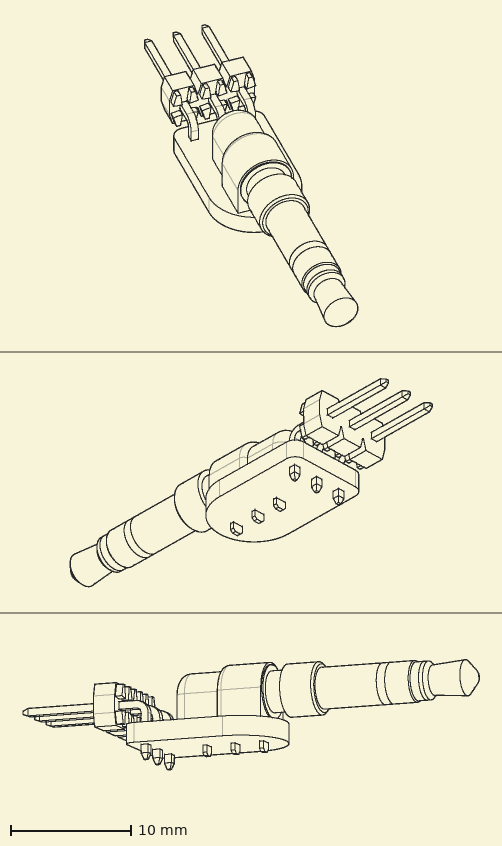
import cadquery as cq

pitch = 2.55
row = (-1, 0, 1)
header_mid_y = 0.05

board_start = 9.52
board_width = 8.0
board_thickness = 1.67
board_corner = 1.0
board_round_x = 18.5

pin_side = 0.65
pin_tip_side = 0.28
pin_tip_length = 0.5
pin_z = 1.75
pin_bottom = -2.9
pin_outer_x = 11.3
pin_bend_inner = 0.45
pin_bend_outer = pin_bend_inner + pin_side
pin_drop_x = pin_outer_x - pin_side / 2

header_start = 6.77
header_length = 1.9
header_bottom = -0.05
header_height = 3.63
header_half_height = header_height / 2
header_mid_z = header_bottom + header_half_height
header_flat_half_width = 0.95
groove_floor = 0.06
header_corner_half_width = (pitch - groove_floor) / 2
header_corner_height = 0.75

foot_length = 0.6
foot_outline = [(0.3, 0.5), (0.48, 1.67), (0.85, 1.67), (1.1, 0.65)]

axis_z = 2.5
rear_start = 13.25
rear_radius = 2.0
rear_round = 1.0
front_start = 17.2
front_end = 21.28
front_radius = 2.47
front_round = 0.48

lead_mid_x = 18.0
lead_thickness = 0.35
lead_width = 1.05
lead_bottom = -2.5
lead_chamfer = 0.25

flange_radius = 2.27
flange_end = 21.4
collar_start = 22.87
collar_end = 25.85
collar_radius = 2.25
collar_chamfer = 0.2
barrel_radius = 1.75
barrel_end = 34.35
barrel_chamfer = 0.1
shoulder_radius = barrel_radius - barrel_chamfer
shoulder_end = 35.45
neck_start = 35.83
neck_radius = 1.28
tip_wide_x = 38.77
tip_wide_radius = 1.5
tip_nose_x = 39.57
tip_nose_radius = 0.68
plug_end = 39.85

ring_inner_radius = 1.2
barrel_ring_start = 31.35
barrel_ring_end = 32.1
shoulder_ring_end = 35.1


def make_pin(y):
    """Square pin with tapered ends, bent from the header down through the board."""
    pin = (
        cq.Workplane("YZ", origin=(0, y, pin_z))
        .rect(pin_tip_side, pin_tip_side)
        .workplane(offset=pin_tip_length)
        .rect(pin_side, pin_side)
        .loft(ruled=True)
    )
    half = pin_side / 2
    lower_tip_z = pin_bottom + pin_tip_length
    bend_x = pin_outer_x - pin_bend_outer
    bend_z = pin_z + half - pin_bend_outer
    shank = (
        cq.Workplane("XZ", origin=(0, y + half, 0))
        .moveTo(pin_tip_length, pin_z + half)
        .lineTo(bend_x, pin_z + half)
        .radiusArc((pin_outer_x, bend_z), pin_bend_outer)
        .lineTo(pin_outer_x, lower_tip_z)
        .lineTo(pin_outer_x - pin_side, lower_tip_z)
        .lineTo(pin_outer_x - pin_side, bend_z)
        .radiusArc((bend_x, pin_z - half), -pin_bend_inner)
        .lineTo(pin_tip_length, pin_z - half)
        .close()
        .extrude(pin_side)
    )
    lower_tip = (
        cq.Workplane("XY", origin=(pin_drop_x, y, pin_bottom))
        .rect(pin_tip_side, pin_tip_side)
        .workplane(offset=pin_tip_length)
        .rect(pin_side, pin_side)
        .loft(ruled=True)
    )
    return pin.union(shank).union(lower_tip)


def make_header(pins):
    """Plastic block of three octagons with spacer feet, pierced by the pins."""
    back_x = header_start + header_length
    quarter = [
        (header_corner_half_width, header_corner_height),
        (header_flat_half_width, header_half_height),
    ]
    octagon = (
        quarter
        + [(-y, z) for y, z in reversed(quarter)]
        + [(-y, -z) for y, z in quarter]
        + [(y, -z) for y, z in reversed(quarter)]
    )
    web_width = 2 * pitch
    web_height = 2 * header_corner_height
    header = (
        cq.Workplane("YZ", origin=(header_start, header_mid_y, header_mid_z))
        .rect(web_width, web_height)
        .extrude(header_length)
    )
    for place in row:
        y = header_mid_y + place * pitch
        block = (
            cq.Workplane("YZ", origin=(header_start, y, header_mid_z))
            .polyline(octagon)
            .close()
            .extrude(header_length)
        )
        header = header.union(block)
        for side_y in (-1, 1):
            for side_z in (-1, 1):
                foot = (
                    cq.Workplane("YZ", origin=(back_x, y, header_mid_z))
                    .polyline([(side_y * a, side_z * b) for a, b in foot_outline])
                    .close()
                    .extrude(foot_length)
                )
                header = header.union(foot)
    for pin in pins:
        header = header.cut(pin)
    return header


def make_arch(start, end, radius, edge_round):
    """Housing section on the board with a half-round top and a rounded -X end."""
    return (
        cq.Workplane("YZ", origin=(start, 0, 0))
        .moveTo(-radius, 0)
        .lineTo(-radius, axis_z)
        .threePointArc((0, axis_z + radius), (radius, axis_z))
        .lineTo(radius, 0)
        .close()
        .extrude(end - start)
        .faces("<X")
        .edges("not(<Z)")
        .fillet(edge_round)
    )


def make_plug():
    """Turned plug, from the flange on the housing to the rounded nose."""
    profile = [
        (front_end, 0),
        (front_end, flange_radius),
        (flange_end, flange_radius),
        (flange_end, barrel_radius),
        (collar_start, barrel_radius),
        (collar_start, collar_radius),
        (collar_end - collar_chamfer, collar_radius),
        (collar_end, collar_radius - collar_chamfer),
        (collar_end, barrel_radius),
        (barrel_end - barrel_chamfer, barrel_radius),
        (barrel_end, shoulder_radius),
        (shoulder_end, shoulder_radius),
        (neck_start, neck_radius),
        (tip_wide_x, tip_wide_radius),
    ]
    nose = [(tip_nose_x, tip_nose_radius), (plug_end, 0)]
    return (
        cq.Workplane("XZ", origin=(0, 0, axis_z))
        .polyline(profile)
        .spline(nose, tangents=[(1, -1), (0, -1)], includeCurrent=True)
        .close()
        .revolve(360, (0, 0, 0), (1, 0, 0))
    )


def make_lead(x):
    """Flat blade through the board with its lower corners cut off."""
    return (
        cq.Workplane("XY", origin=(x, 0, lead_bottom))
        .rect(lead_thickness, lead_width)
        .extrude(-lead_bottom)
        .faces("<Z")
        .edges("|X")
        .chamfer(lead_chamfer)
    )


def make_insulator(start, end, outer_radius):
    """Insulating ring around the plug's core."""
    return (
        cq.Workplane("YZ", origin=(start, 0, axis_z))
        .circle(outer_radius)
        .circle(ring_inner_radius)
        .extrude(end - start)
    )


def make_jack(insulators):
    """Housing, leads and plug in one piece, grooved for the insulating rings."""
    jack = make_arch(rear_start, front_end, rear_radius, rear_round)
    jack = jack.union(make_arch(front_start, front_end, front_radius, front_round))
    jack = jack.union(make_plug())
    for place in row:
        jack = jack.union(make_lead(lead_mid_x + place * pitch))
    for insulator in insulators:
        jack = jack.cut(insulator)
    return jack


def make_board(parts_through):
    """Board with a half-round +X end and openings for the pins and leads."""
    half = board_width / 2
    board = (
        cq.Workplane("XY", origin=(0, 0, -board_thickness))
        .moveTo(board_start, -half)
        .lineTo(board_round_x, -half)
        .threePointArc((board_round_x + half, 0), (board_round_x, half))
        .lineTo(board_start, half)
        .close()
        .extrude(board_thickness)
        .edges("|Z and <X")
        .fillet(board_corner)
    )
    for part in parts_through:
        board = board.cut(part)
    return board


pins = [make_pin(header_mid_y + place * pitch) for place in row]
header = make_header(pins)
insulators = [
    make_insulator(barrel_ring_start, barrel_ring_end, barrel_radius),
    make_insulator(barrel_end, shoulder_ring_end, shoulder_radius),
]
jack = make_jack(insulators)
board = make_board(pins + [jack])

result = cq.Compound.makeCompound(
    [board.val(), header.val(), jack.val()]
    + [pin.val() for pin in pins]
    + [insulator.val() for insulator in insulators]
)